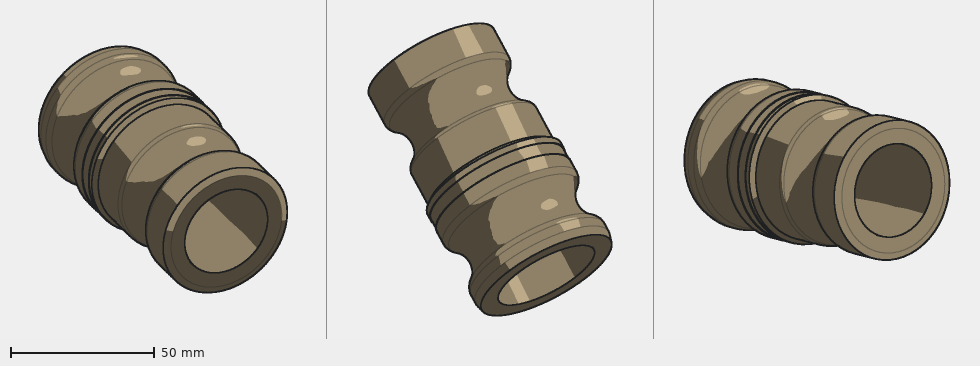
import cadquery as cq
import math

LENGTH = 90.0
COLLAR_RADIUS = 53.0 / 2
BODY_RADIUS = 49.5 / 2

LEFT_FACE_RADIUS = 25.65
LEFT_TAPER_LENGTH = 3.2

COLLAR_GROOVE_CENTER = 17.5
COLLAR_GROOVE_FLOOR_RADIUS = 21.5
COLLAR_GROOVE_ARC = 10.8
COLLAR_GROOVE_BLEND = 3.15

BAND_RADIUS = 52.5 / 2
BAND_START = 33.4
BAND_END = 38.1
SHOULDER_START = 40.5
SHOULDER_END = 41.9

BODY_GROOVE_CENTER = 66.5
BODY_GROOVE_FLOOR_RADIUS = 19.5
BODY_GROOVE_ARC = 11.0
BODY_GROOVE_LEFT_BLEND = 1.8
BODY_GROOVE_RIGHT_BLEND = 2.7

RIGHT_FACE_RADIUS = 22.05
RIGHT_CHAMFER_LENGTH = 0.7

BORE_LEFT_RADIUS = 18.9
BORE_RIGHT_RADIUS = 33.0 / 2


def add_groove(profile, rim_radius, center, floor_radius, arc_radius, left_blend, right_blend):
    """Append a concave arc with tangent convex blends rising to the rim on both sides."""
    arc_center_radius = floor_radius + arc_radius

    def side_points(blend, side):
        angle = math.acos(1 - (rim_radius - floor_radius) / (arc_radius + blend))
        blend_center = center + side * (arc_radius + blend) * math.sin(angle)

        def blend_point(turn):
            return (
                blend_center - side * blend * math.sin(turn),
                rim_radius - blend + blend * math.cos(turn),
            )

        tangent = (
            center + side * arc_radius * math.sin(angle),
            arc_center_radius - arc_radius * math.cos(angle),
        )
        return blend_point(0), blend_point(angle / 2), tangent

    left_rim, left_middle, left_tangent = side_points(left_blend, -1)
    right_rim, right_middle, right_tangent = side_points(right_blend, 1)
    return (
        profile.lineTo(*left_rim)
        .threePointArc(left_middle, left_tangent)
        .threePointArc((center, floor_radius), right_tangent)
        .threePointArc(right_middle, right_rim)
    )


profile = (
    cq.Workplane("XY")
    .moveTo(0, BORE_LEFT_RADIUS)
    .lineTo(0, LEFT_FACE_RADIUS)
    .lineTo(LEFT_TAPER_LENGTH, COLLAR_RADIUS)
)
profile = add_groove(
    profile,
    COLLAR_RADIUS,
    COLLAR_GROOVE_CENTER,
    COLLAR_GROOVE_FLOOR_RADIUS,
    COLLAR_GROOVE_ARC,
    COLLAR_GROOVE_BLEND,
    COLLAR_GROOVE_BLEND,
)
profile = (
    profile.lineTo(BAND_START, COLLAR_RADIUS)
    .lineTo(BAND_START, BAND_RADIUS)
    .lineTo(BAND_END, BAND_RADIUS)
    .lineTo(BAND_END, COLLAR_RADIUS)
    .lineTo(SHOULDER_START, COLLAR_RADIUS)
    .lineTo(SHOULDER_END, BODY_RADIUS)
)
profile = add_groove(
    profile,
    BODY_RADIUS,
    BODY_GROOVE_CENTER,
    BODY_GROOVE_FLOOR_RADIUS,
    BODY_GROOVE_ARC,
    BODY_GROOVE_LEFT_BLEND,
    BODY_GROOVE_RIGHT_BLEND,
)
profile = (
    profile.lineTo(LENGTH - RIGHT_CHAMFER_LENGTH, BODY_RADIUS)
    .lineTo(LENGTH, RIGHT_FACE_RADIUS)
    .lineTo(LENGTH, BORE_RIGHT_RADIUS)
    .close()
)

result = profile.revolve(360, (0, 0, 0), (1, 0, 0))